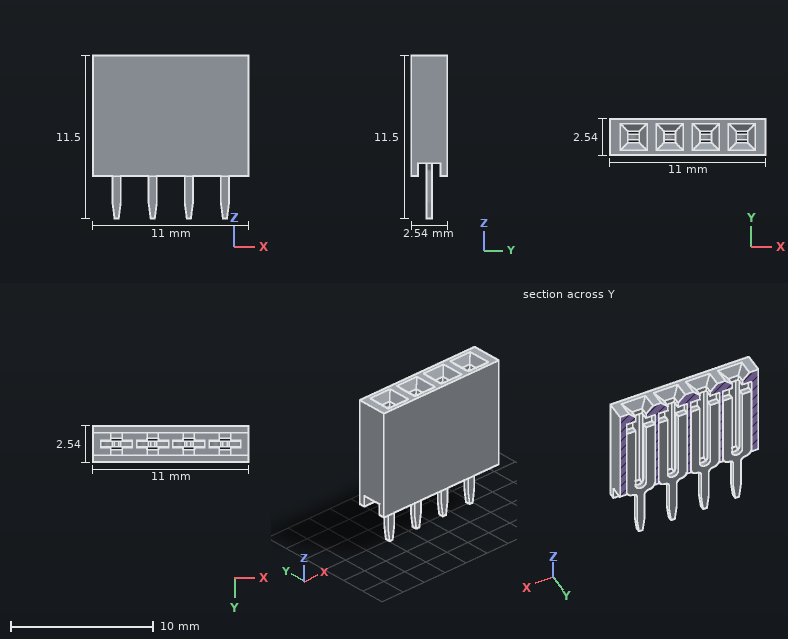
import cadquery as cq

LENGTH = 10.96
WIDTH = 2.54
TOTAL_HEIGHT = 11.5
PIN_LENGTH = 3.0
HOUSING_HEIGHT = TOTAL_HEIGHT - PIN_LENGTH
CHANNEL_WIDTH = 1.55
CHANNEL_DEPTH = 0.89

POSITIONS = 4
PITCH = 2.54

MOUTH_SIZE = 1.9
NECK_SIZE = 0.79
FUNNEL_DEPTH = (MOUTH_SIZE - NECK_SIZE) / 2
NECK_DEPTH = 0.43
CAVITY_TOP = HOUSING_HEIGHT - FUNNEL_DEPTH - NECK_DEPTH
CAVITY_WIDTH = 1.61
FORK_SLOT_WIDTH = 0.55

THICKNESS = 0.4
STEM_HALF = 0.6 / 2
TIP_HALF = 0.3 / 2
TAPER_LENGTH = 1.13
NECK_RADIUS = 0.33
SHOULDER_RADIUS = 0.48
FORK_HALF = STEM_HALF + NECK_RADIUS + SHOULDER_RADIUS
SHOULDER_Z = 0.64
BOWL_RADIUS = 0.41
WEB_THICKNESS = 0.41
BOWL_BOTTOM = SHOULDER_Z + WEB_THICKNESS
TINE_CLEARANCE = 0.89
TINE_TOP = CAVITY_TOP - TINE_CLEARANCE


def position_x(index):
    """X of one contact position, the row being centred on x = 0."""
    return (index - (POSITIONS - 1) / 2) * PITCH


def block(x, size_x, size_y, bottom, top):
    """Upright box centred on (x, 0) between two heights."""
    return (
        cq.Workplane("XY", origin=(x, 0, bottom))
        .rect(size_x, size_y)
        .extrude(top - bottom)
    )


def make_socket(x):
    """Funnel, square neck and cross-shaped cavity of one position."""
    funnel = (
        cq.Workplane("XY", origin=(x, 0, HOUSING_HEIGHT - FUNNEL_DEPTH))
        .rect(NECK_SIZE, NECK_SIZE)
        .workplane(offset=FUNNEL_DEPTH)
        .rect(MOUTH_SIZE, MOUTH_SIZE)
        .loft(ruled=True)
    )
    neck = block(x, NECK_SIZE, NECK_SIZE, CAVITY_TOP, HOUSING_HEIGHT - FUNNEL_DEPTH)
    cavity = block(x, NECK_SIZE, CAVITY_WIDTH, CHANNEL_DEPTH, CAVITY_TOP)
    fork_slot = block(x, 2 * FORK_HALF, FORK_SLOT_WIDTH, CHANNEL_DEPTH, CAVITY_TOP)
    return funnel.union(neck).union(cavity).union(fork_slot)


def make_housing():
    """Block with the channel underneath and one socket per position."""
    housing = block(0, LENGTH, WIDTH, 0, HOUSING_HEIGHT)
    housing = housing.cut(block(0, LENGTH, CHANNEL_WIDTH, 0, CHANNEL_DEPTH))
    for index in range(POSITIONS):
        housing = housing.cut(make_socket(position_x(index)))
    return housing


def make_contact(x):
    """Two-tined fork on a tapered stem, one half outline mirrored across its axis."""
    neck_bottom = SHOULDER_Z - NECK_RADIUS
    shoulder_inner = STEM_HALF + NECK_RADIUS
    shoulder_top = SHOULDER_Z + SHOULDER_RADIUS
    taper_top = TAPER_LENGTH - PIN_LENGTH
    return (
        cq.Workplane("XZ", origin=(x, THICKNESS / 2, 0))
        .moveTo(0, -PIN_LENGTH)
        .lineTo(TIP_HALF, -PIN_LENGTH)
        .lineTo(STEM_HALF, taper_top)
        .lineTo(STEM_HALF, neck_bottom)
        .tangentArcPoint((shoulder_inner, SHOULDER_Z), relative=False)
        .tangentArcPoint((FORK_HALF, shoulder_top), relative=False)
        .lineTo(FORK_HALF, TINE_TOP)
        .lineTo(BOWL_RADIUS, TINE_TOP)
        .lineTo(BOWL_RADIUS, BOWL_BOTTOM + BOWL_RADIUS)
        .tangentArcPoint((0, BOWL_BOTTOM), relative=False)
        .mirrorY()
        .extrude(THICKNESS)
    )


housing = make_housing()
contacts = [make_contact(position_x(index)) for index in range(POSITIONS)]

result = cq.Compound.makeCompound([housing.val(), *[contact.val() for contact in contacts]])